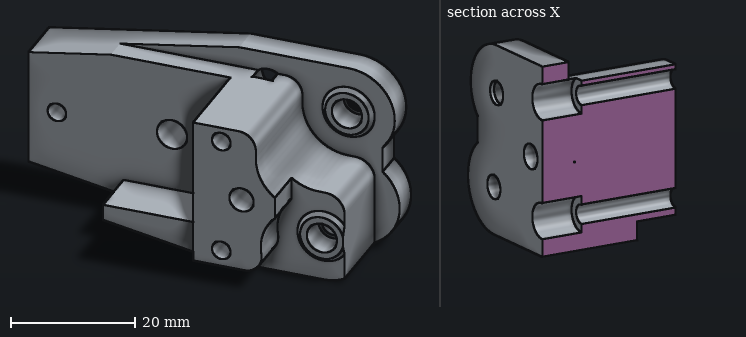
import cadquery as cq

length = 62.8
half_height = 16.0
tail_half_height = 10.05
shoulder_x = 35.0
lobe_radius = half_height / 2
lower_lobe = (length - lobe_radius, -lobe_radius)
upper_lobe = (53.9, lobe_radius)
neck_x = 59.8

plate_depth = 5.0
pad_depth = 9.05
body_depth = 18.0
tower_depth = 25.25

ledge_z = 12.5
tower_bottom_z = -12.85
tower_right_x = 49.2
body_right_x = 58.45
corner_radius = 3.0
body_corner_radius = 3.4
rib_start_x = 16.5
rib_top_z = -tail_half_height

boss_height = 0.75
boss_base_radius = 4.5
boss_tip_radius = 3.75
boss_bore = 4.0
boss_counterbore = 5.2
boss_counterbore_depth = 5.0
screw_hole = 3.2
screw_head = 6.0
screw_head_depth = 7.4
screw_x = 39.9
screw_z = 10.0
tail_hole_x = 4.95
pivot_hole = 5.2
pivot_x = 24.9
tower_hole = 4.2
tower_hole_x = 43.45


def box(x0, x1, z0, z1, depth):
    """Block from the back face to the given depth."""
    return cq.Workplane("XY").box(x1 - x0, depth, z1 - z0, centered=False).translate((x0, -depth, z0))


def cylinder(center, diameter, depth, start=0.0):
    """Cylinder running toward -Y from the start depth to the end depth."""
    plane = cq.Workplane("XZ", origin=(center[0], -start, center[1]))
    return plane.circle(diameter / 2).extrude(depth - start)


def plate(depth):
    """Tapered tail, parallel middle and two round lobes."""
    outline = [
        (0, -tail_half_height),
        (shoulder_x, -half_height),
        (lower_lobe[0], -half_height),
        (lower_lobe[0], lower_lobe[1]),
        (neck_x, lower_lobe[1]),
        (neck_x, upper_lobe[1]),
        (upper_lobe[0], upper_lobe[1]),
        (upper_lobe[0], half_height),
        (shoulder_x, half_height),
        (0, tail_half_height),
    ]
    blank = cq.Workplane("XZ").polyline(outline).close().extrude(depth)
    for lobe in (upper_lobe, lower_lobe):
        blank = blank.union(cylinder(lobe, 2 * lobe_radius, depth))
    return blank


def rounded_corner(block, x, z, radius=corner_radius):
    """Round the edge parallel to Y that is nearest to the given corner."""
    nearest = cq.selectors.NearestToPointSelector((x, -tower_depth / 2, z))
    return block.edges("|Y").edges(nearest).fillet(radius)


def raised_body():
    """Pad, rib and body within the plate outline, relieved around the upper lobe."""
    pad = box(0, shoulder_x, -half_height, ledge_z, pad_depth)
    rib = box(rib_start_x, shoulder_x, -half_height, rib_top_z, body_depth)
    left_part = box(shoulder_x, upper_lobe[0] - lobe_radius, -half_height, ledge_z, body_depth)
    left_part = rounded_corner(left_part, upper_lobe[0] - lobe_radius, ledge_z)
    right_part = box(shoulder_x, body_right_x, -half_height, 0, body_depth)
    right_part = rounded_corner(right_part, body_right_x, 0, body_corner_radius)
    web = box(shoulder_x, upper_lobe[0], 0, upper_lobe[1], body_depth)
    body = left_part.union(right_part).union(web)
    body = body.cut(cylinder(upper_lobe, 2 * lobe_radius, body_depth))
    return pad.union(rib).union(body).intersect(plate(body_depth))


def tower():
    """Tall block relieved around both lobes."""
    block = box(shoulder_x, tower_right_x, tower_bottom_z, upper_lobe[1], tower_depth)
    top_right_x = upper_lobe[0] - lobe_radius
    top = box(shoulder_x, top_right_x, 0, ledge_z, tower_depth)
    top = rounded_corner(top, top_right_x, ledge_z)
    block = block.cut(cylinder(lower_lobe, 2 * lobe_radius, tower_depth))
    lower_corner_x = lower_lobe[0] - lobe_radius
    block = rounded_corner(block, lower_corner_x, tower_bottom_z)
    return block.union(top).cut(cylinder(upper_lobe, 2 * lobe_radius, tower_depth))


def boss(center, base_depth):
    """Conical collar standing on a face at the given depth."""
    cone = cq.Solid.makeCone(
        boss_base_radius,
        boss_tip_radius,
        boss_height,
        pnt=cq.Vector(center[0], -base_depth, center[1]),
        dir=cq.Vector(0, -1, 0),
    )
    return cq.Workplane("XY").add(cone)


result = plate(plate_depth).union(raised_body()).union(tower())

for center, base_depth in ((upper_lobe, plate_depth), (lower_lobe, body_depth)):
    tip_depth = base_depth + boss_height
    collar = boss(center, base_depth).intersect(
        box(0, body_right_x, -half_height, half_height, tip_depth)
    )
    result = result.union(collar)
    result = result.cut(cylinder(center, boss_bore, tip_depth))
    result = result.cut(cylinder(center, boss_counterbore, tip_depth, tip_depth - boss_counterbore_depth))

for x, diameter in ((tail_hole_x, screw_hole), (pivot_x, pivot_hole), (tower_hole_x, tower_hole)):
    result = result.cut(cylinder((x, 0), diameter, tower_depth))

for z in (-screw_z, screw_z):
    result = result.cut(cylinder((screw_x, z), screw_hole, tower_depth))
    result = result.cut(cylinder((screw_x, z), screw_head, screw_head_depth))